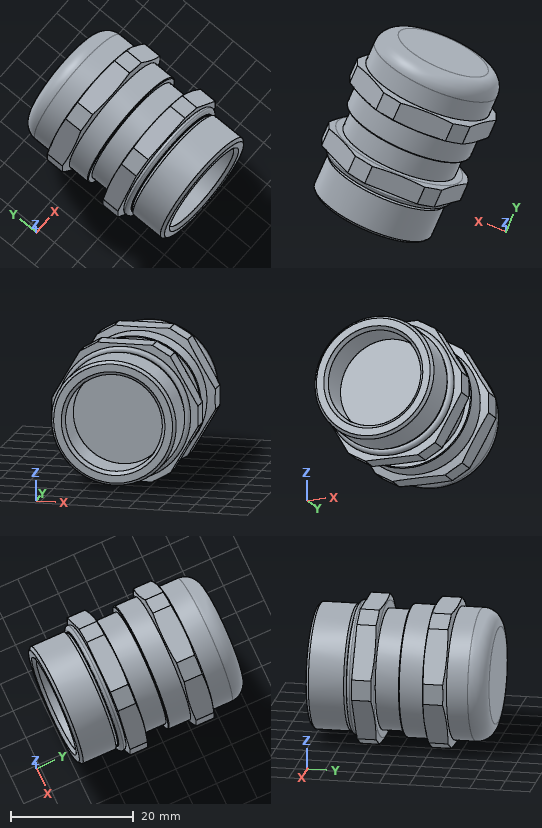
import cadquery as cq
import math

length = 30.0

thread_length = 6.8
seal_thickness = 1.2
body_hex_width = 3.48
neck_length = 4.02
collar_length = 4.0
cap_hex_width = 4.0

thread_radius = 10.47
neck_radius = 10.0
seal_seat_radius = 10.17
cap_radius = 10.98
bore_radius = 8.13
seal_outer_radius = 11.2

thread_chamfer = 0.48
bore_chamfer = 0.57
collar_chamfer = 0.15
dome_radius = 3.0

bore_depth = 5.9
hex_sides = 6
across_flats = 23.0
across_cut_corners = 24.57
hex_chamfer_angle = 15.0
body_hex_chamfer_radius = 11.25

body_hex_start = thread_length + seal_thickness
neck_start = body_hex_start + body_hex_width
collar_start = neck_start + neck_length
cap_hex_start = collar_start + collar_length
cap_length = length - collar_start


def along_y(start):
    """Workplane facing +Y, `start` from the threaded end, with its local x along Z."""
    return cq.Workplane("ZX", origin=(0, start - length / 2, 0))


def cylinder(start, height, radius):
    """Cylinder about Y reaching from `start` towards +Y."""
    return along_y(start).circle(radius).extrude(height)


def hexagon(start, width, chamfer_radius, chamfer_near_end):
    """Hexagon with flats facing +Z and -Z and six corners cut flat.

    A conical chamfer starts at `chamfer_radius` on the +Y end and, if asked for, on the -Y end too.
    """
    flats = along_y(start).polygon(hex_sides, across_flats, circumscribed=True)
    turned_plane = along_y(start).transformed(rotate=(0, 0, 180 / hex_sides))
    corner_cuts = turned_plane.polygon(hex_sides, across_cut_corners, circumscribed=True)

    corner_radius = across_flats / math.sqrt(3)
    chamfer_height = (corner_radius - chamfer_radius) * math.tan(math.radians(hex_chamfer_angle))
    near = start - length / 2
    far = near + width
    outline = cq.Workplane("XY").moveTo(0, near)
    if chamfer_near_end:
        outline = outline.lineTo(chamfer_radius, near).lineTo(corner_radius, near + chamfer_height)
    else:
        outline = outline.lineTo(corner_radius, near)
    outline = outline.lineTo(corner_radius, far - chamfer_height).lineTo(chamfer_radius, far).lineTo(0, far)
    turned_blank = outline.close().revolve(360, (0, 0, 0), (0, 1, 0))
    return turned_blank.intersect(flats.extrude(width)).intersect(corner_cuts.extrude(width))


def threaded_end():
    """Plain thread envelope with both rims chamfered."""
    return cylinder(0, thread_length, thread_radius).edges().chamfer(thread_chamfer)


def seal_ring():
    """O-ring seated against the -Y face of the body hexagon."""
    tube_radius = seal_thickness / 2
    ring = cq.Solid.makeTorus(
        seal_outer_radius - tube_radius,
        tube_radius,
        cq.Vector(0, thread_length + tube_radius - length / 2, 0),
        cq.Vector(0, 1, 0),
    )
    return cq.Workplane(obj=ring)


def cap():
    """Domed cap together with the collar on the -Y side of its hexagon."""
    shell = cylinder(collar_start, cap_length, cap_radius)
    return shell.faces(">Y").edges().fillet(dome_radius).faces("<Y").edges().chamfer(collar_chamfer)


def bore():
    """Flat-bottomed blind bore with a chamfered mouth."""
    mouth = cq.Solid.makeCone(
        bore_radius + bore_chamfer,
        bore_radius,
        bore_chamfer,
        cq.Vector(0, -length / 2, 0),
        cq.Vector(0, 1, 0),
    )
    return cylinder(0, bore_depth, bore_radius).union(cq.Workplane(obj=mouth))


body_hex = hexagon(body_hex_start, body_hex_width, body_hex_chamfer_radius, chamfer_near_end=False)
cap_hex = hexagon(cap_hex_start, cap_hex_width, cap_radius, chamfer_near_end=True)
seal_seat = cylinder(thread_length, seal_thickness, seal_seat_radius)
neck = cylinder(neck_start, neck_length, neck_radius)

result = threaded_end()
for section in (seal_seat, seal_ring(), body_hex, neck, cap(), cap_hex):
    result = result.union(section)
result = result.cut(bore())